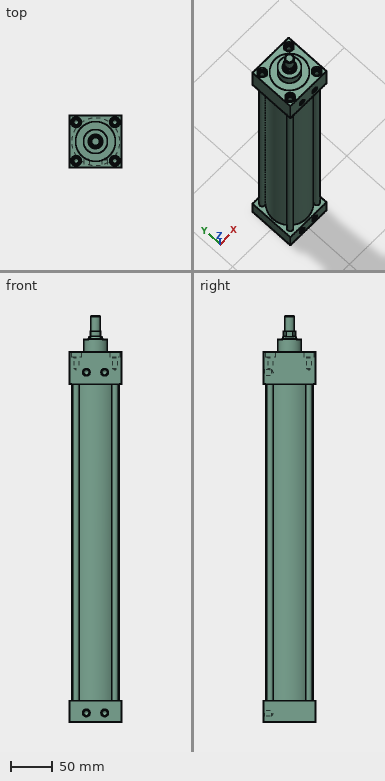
import math

import cadquery as cq


TOTAL_HEIGHT = 492.0
BLOCK_SIDE = 63.5
BASE_HEIGHT = 26.0
HEAD_TOP = 448.5
HEAD_HEIGHT = 39.0
HEAD_BOTTOM = HEAD_TOP - HEAD_HEIGHT
BARREL_DIAMETER = 58.0

BOSS_DIAMETER = 29.0
BOSS_TOP = 463.5
RECESS_DIAMETER = 48.0
RECESS_FLOOR = HEAD_TOP - 0.5

TIE_ROD_DIAMETER = 8.0
TIE_ROD_SPACING = 46.8
CORNERS = [(x, y) for x in (-TIE_ROD_SPACING / 2, TIE_ROD_SPACING / 2)
           for y in (-TIE_ROD_SPACING / 2, TIE_ROD_SPACING / 2)]

COUNTERBORE_DIAMETER = 12.5
COUNTERBORE_FLOOR = HEAD_TOP - 6.0
CORNER_HOLE_DIAMETER = 6.5
CORNER_HOLE_DEPTH = 14.0
CORNER_HOLE_CHAMFER = 1.0

PORT_SPACING = 22.0
PORT_DIAMETER = 7.0
PORT_DEPTH = 10.0
PORT_CHAMFER = 1.0
BASE_PORT_Z = 11.5
HEAD_PORT_Z = HEAD_BOTTOM + 14.5

DRILL_POINT_ANGLE = 118.0

ROOT_DIAMETER = 17.0
ROOT_RIM = 464.5
ROOT_TOP = 467.5
SHOULDER_DIAMETER = 15.0
SHOULDER_TOP = 473.5
ACROSS_FLATS = 12.5
FLATS_BOTTOM = 466.5
TIP_DIAMETER = 12.0
TIP_CHAMFER = 1.0


def cylinder(diameter, bottom, top, center=(0, 0)):
    """Upright cylinder between two heights."""
    x, y = center
    return cq.Workplane("XY", origin=(x, y, bottom)).circle(diameter / 2).extrude(top - bottom)


def end_block(bottom, height):
    return cq.Workplane("XY", origin=(0, 0, bottom)).rect(BLOCK_SIDE, BLOCK_SIDE).extrude(height)


def drilled_hole(mouth, direction, diameter, depth, chamfer):
    """Cutter for a blind hole with a chamfered mouth and a conical end."""
    radius = diameter / 2
    point_length = radius / math.tan(math.radians(DRILL_POINT_ANGLE / 2))
    drill = (
        cq.Workplane("XZ")
        .lineTo(radius + chamfer, 0)
        .lineTo(radius, chamfer)
        .lineTo(radius, depth)
        .lineTo(0, depth + point_length)
        .close()
        .revolve(360, (0, 0, 0), (0, 1, 0))
    )
    return drill.val().located(cq.Location(cq.Plane(origin=mouth, normal=direction)))


def corner_hole(center):
    """Cutter for the counterbored hole in one corner of the head."""
    x, y = center
    counterbore = cylinder(COUNTERBORE_DIAMETER, COUNTERBORE_FLOOR, HEAD_TOP, center)
    bore = drilled_hole(
        (x, y, COUNTERBORE_FLOOR), (0, 0, -1), CORNER_HOLE_DIAMETER, CORNER_HOLE_DEPTH, CORNER_HOLE_CHAMFER
    )
    return counterbore.union(bore)


def make_housing():
    housing = end_block(0, BASE_HEIGHT).union(end_block(HEAD_BOTTOM, HEAD_HEIGHT))
    housing = housing.union(cylinder(BARREL_DIAMETER, BASE_HEIGHT, HEAD_BOTTOM))
    for corner in CORNERS:
        housing = housing.union(cylinder(TIE_ROD_DIAMETER, BASE_HEIGHT, HEAD_BOTTOM, corner))

    housing = housing.cut(cylinder(RECESS_DIAMETER, RECESS_FLOOR, HEAD_TOP))
    housing = housing.union(cylinder(BOSS_DIAMETER, RECESS_FLOOR, BOSS_TOP))

    for corner in CORNERS:
        housing = housing.cut(corner_hole(corner))

    for z in (BASE_PORT_Z, HEAD_PORT_Z):
        for x in (-PORT_SPACING / 2, PORT_SPACING / 2):
            mouth = (x, -BLOCK_SIDE / 2, z)
            housing = housing.cut(drilled_hole(mouth, (0, 1, 0), PORT_DIAMETER, PORT_DEPTH, PORT_CHAMFER))
    return housing


def make_piston_rod():
    tip_radius = TIP_DIAMETER / 2
    rod = (
        cq.Workplane("XZ")
        .moveTo(0, BOSS_TOP)
        .lineTo(ROOT_DIAMETER / 2, BOSS_TOP)
        .lineTo(ROOT_DIAMETER / 2, ROOT_RIM)
        .lineTo(SHOULDER_DIAMETER / 2, ROOT_TOP)
        .lineTo(SHOULDER_DIAMETER / 2, SHOULDER_TOP)
        .lineTo(tip_radius, SHOULDER_TOP)
        .lineTo(tip_radius, TOTAL_HEIGHT - TIP_CHAMFER)
        .lineTo(tip_radius - TIP_CHAMFER, TOTAL_HEIGHT)
        .lineTo(0, TOTAL_HEIGHT)
        .close()
        .revolve(360, (0, 0, 0), (0, 1, 0))
    )

    cutter_width = ROOT_DIAMETER
    cutter_offset = (ACROSS_FLATS + cutter_width) / 2
    for x in (-cutter_offset, cutter_offset):
        flat = (
            cq.Workplane("XY", origin=(x, 0, FLATS_BOTTOM))
            .rect(cutter_width, cutter_width)
            .extrude(SHOULDER_TOP - FLATS_BOTTOM)
        )
        rod = rod.cut(flat)
    return rod


housing = make_housing()
piston_rod = make_piston_rod()

result = cq.Compound.makeCompound([housing.solids().val(), piston_rod.solids().val()])